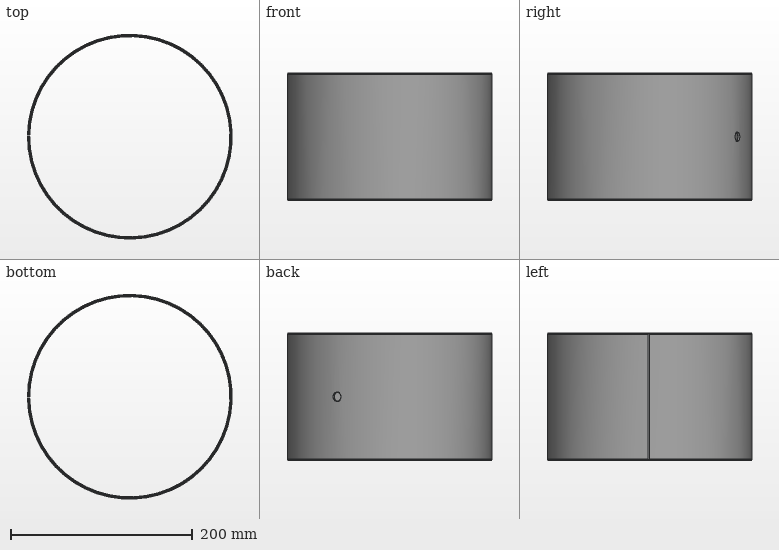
import cadquery as cq
import math

outer_diameter = 225.0
wall_thickness = 2.5
height = 140.0

outer_chamfer_height = 1.8
outer_chamfer_angle = 20.0
inner_chamfer = 0.8

gap_angle = 1.0

hole_diameter = 10.0
hole_angle = 59.0

outer_radius = outer_diameter / 2
inner_radius = outer_radius - wall_thickness


def make_split_sleeve():
    """Chamfered wall section on the -X side, revolved from -X through -Y until the gap is reached."""
    end_z = height / 2
    outer_shoulder_z = end_z - outer_chamfer_height
    inner_shoulder_z = end_z - inner_chamfer
    outer_chamfer_depth = outer_chamfer_height * math.tan(math.radians(outer_chamfer_angle))
    rim_outer_radius = outer_radius - outer_chamfer_depth
    rim_inner_radius = inner_radius + inner_chamfer
    section = [
        (-outer_radius, -outer_shoulder_z),
        (-outer_radius, outer_shoulder_z),
        (-rim_outer_radius, end_z),
        (-rim_inner_radius, end_z),
        (-inner_radius, inner_shoulder_z),
        (-inner_radius, -inner_shoulder_z),
        (-rim_inner_radius, -end_z),
        (-rim_outer_radius, -end_z),
    ]
    profile = cq.Workplane("XZ").polyline(section).close()
    return profile.revolve(360 - gap_angle, (0, 0, 0), (0, 1, 0))


def make_radial_hole():
    """Cylinder from the axis out through one side of the wall."""
    angle = math.radians(hole_angle)
    axis_point = cq.Vector(0, 0, 0)
    direction = cq.Vector(math.cos(angle), math.sin(angle), 0)
    cutter = cq.Solid.makeCylinder(hole_diameter / 2, outer_diameter, axis_point, direction)
    return cq.Workplane("XY").add(cutter)


result = make_split_sleeve().cut(make_radial_hole())